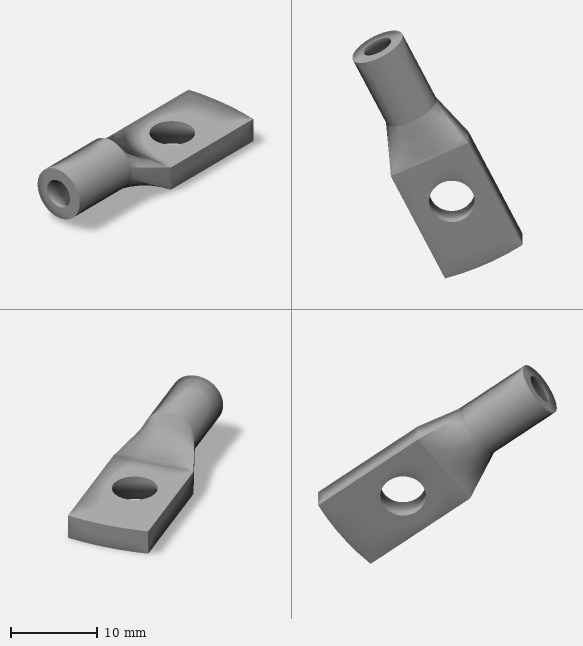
import cadquery as cq
import math

total_length = 28.95
palm_width = 10.0
palm_thickness = 3.0
total_height = 7.1

barrel_diameter = 6.48
barrel_length = 9.0
bore_diameter = 3.5
bore_depth = barrel_length
barrel_axis_z = total_height - barrel_diameter / 2

neck_length = 5.0
corner_rise = 0.75
neck_middle_crown = 0.52
palm_start = barrel_length + neck_length
tip_rise = 0.4
bolt_hole_diameter = 5.3
bolt_hole_y = 19.98


def make_barrel():
    """Cylinder lying along Y, with its mouth at Y = 0."""
    plane = cq.Workplane("XZ", origin=(0, 0, barrel_axis_z))
    return plane.circle(barrel_diameter / 2).extrude(-barrel_length)


def neck_section(y, half_width, low_z, high_z, crowns):
    """Closed section at y: four corners joined by edges that bulge outward by the given crowns."""
    bottom_crown, side_crown, top_crown = crowns
    middle_z = (low_z + high_z) / 2
    corners = [
        cq.Vector(-half_width, y, low_z),
        cq.Vector(half_width, y, low_z),
        cq.Vector(half_width, y, high_z),
        cq.Vector(-half_width, y, high_z),
    ]
    bulges = [
        cq.Vector(0, y, low_z - bottom_crown),
        cq.Vector(half_width + side_crown, y, middle_z),
        cq.Vector(0, y, high_z + top_crown),
        cq.Vector(-half_width - side_crown, y, middle_z),
    ]
    edges = []
    for i, corner in enumerate(corners):
        following = corners[(i + 1) % len(corners)]
        if max(crowns) > 0:
            edges.append(cq.Edge.makeThreePointArc(corner, bulges[i], following))
        else:
            edges.append(cq.Edge.makeLine(corner, following))
    return cq.Wire.assembleEdges(edges)


def make_neck():
    """Loft from the round barrel end to the flat palm end, dished along the top."""
    radius = barrel_diameter / 2
    corner_x = math.sqrt(radius**2 - corner_rise**2)
    barrel_low = barrel_axis_z - corner_rise
    barrel_high = barrel_axis_z + corner_rise
    end_crown = radius - corner_rise
    side_crown = radius - corner_x

    round_end = neck_section(
        barrel_length, corner_x, barrel_low, barrel_high, (end_crown, side_crown, end_crown)
    )
    middle = neck_section(
        barrel_length + neck_length / 2,
        (corner_x + palm_width / 2) / 2,
        barrel_low / 2,
        (barrel_high + palm_thickness) / 2,
        (end_crown / 2, side_crown / 2, neck_middle_crown),
    )
    flat_end = neck_section(palm_start, palm_width / 2, 0, palm_thickness, (0, 0, 0))
    return cq.Workplane("XY").newObject([cq.Solid.makeLoft([round_end, middle, flat_end])])


def make_palm():
    """Flat plate with a shallow arc across its tip and a bolt hole."""
    half_width = palm_width / 2
    corner_y = total_length - tip_rise
    plate = (
        cq.Workplane("XY")
        .moveTo(-half_width, palm_start)
        .lineTo(half_width, palm_start)
        .lineTo(half_width, corner_y)
        .threePointArc((0, total_length), (-half_width, corner_y))
        .close()
        .extrude(palm_thickness)
    )
    bolt_hole = (
        cq.Workplane("XY")
        .center(0, bolt_hole_y)
        .circle(bolt_hole_diameter / 2)
        .extrude(palm_thickness)
    )
    return plate.cut(bolt_hole)


def make_bore():
    """Blind wire bore, as deep as the barrel is long."""
    plane = cq.Workplane("XZ", origin=(0, 0, barrel_axis_z))
    return plane.circle(bore_diameter / 2).extrude(-bore_depth)


result = make_barrel().union(make_neck()).union(make_palm()).cut(make_bore())